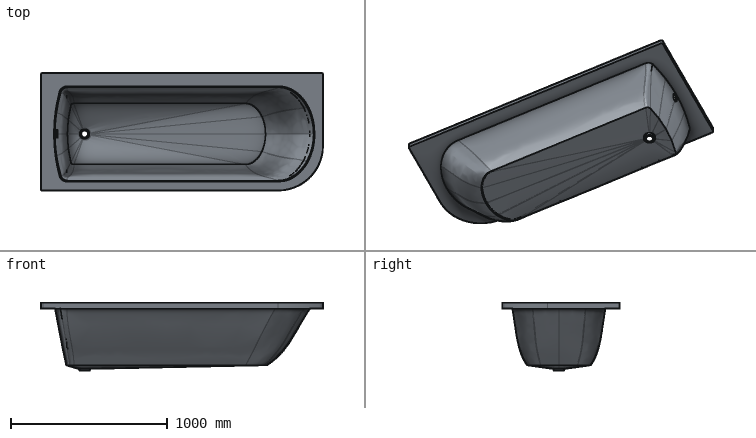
import cadquery as cq
import math


RIM_LENGTH = 1800.0
RIM_WIDTH = 750.0
RIM_THICKNESS = 38.0
ROUNDED_CORNER_RADIUS = 288.0
SMALL_CORNER_RADIUS = 10.0

CENTER_Y = 362.0
WALL = 7.0
END_SPLIT_ANGLE = 35.0

BASIN_LEVELS = [
    (0.0, 83.0, 119.0, 268.0, 170.0, 1514.0, 305.0, 1746.0),
    (180.0, 117.0, 148.0, 252.0, 178.0, 1415.0, 275.0, 1630.0),
    (335.0, 148.0, 173.0, 205.0, 205.0, 1337.0, 238.0, 1521.0),
    (400.0, 162.0, 184.0, 185.0, 209.0, 1303.0, 202.0, 1440.0),
]

DRAIN_X = 279.0
DRAIN_RADIUS = 38.0
DRAIN_DEPTH = 423.0
SPOUT_RADIUS = 30.0
SPOUT_DEPTH = 435.0
DRAIN_HOLE_RADIUS = 22.0

OVERFLOW_RADIUS = 25.0
OVERFLOW_DEPTH = 72.0


def basin_section(level, inset):
    """Closed outline at one level, moved inwards by the inset; also returns its corner points."""
    depth, left, corner_x, corner_half, side_start, side_end, half, right = level
    left += inset
    corner_x += inset
    corner_half -= inset
    half -= inset
    right -= inset

    def point(x, offset):
        return cq.Vector(x, CENTER_Y + offset, -depth)

    sagitta = corner_x - left
    arc_radius = (corner_half**2 + sagitta**2) / (2 * sagitta)
    arc_angle = math.asin(corner_half / arc_radius)

    def on_left(fraction):
        angle = fraction * arc_angle
        return point(left + arc_radius * (1 - math.cos(angle)), arc_radius * math.sin(angle))

    edges = []
    for start in (1.0, 0.5, 0.0, -0.5):
        edges.append(cq.Edge.makeThreePointArc(on_left(start), on_left(start - 0.25), on_left(start - 0.5)))

    near_start = point(side_start, -half)
    near_end = point(side_end, -half)
    far_start = point(side_start, half)
    far_end = point(side_end, half)
    along_x = cq.Vector(1, 0, 0)

    near_corner = cq.Edge.makeTangentArc(near_start, along_x * -1, point(corner_x, -corner_half))
    middle = near_corner.positionAt(0.5)
    edges.append(cq.Edge.makeThreePointArc(point(corner_x, -corner_half), middle, near_start))
    edges.append(cq.Edge.makeLine(near_start, near_end))

    def on_right(degrees):
        angle = math.radians(degrees)
        return point(side_end + (right - side_end) * math.cos(angle), half * math.sin(angle))

    def right_tangent(degrees):
        angle = math.radians(degrees)
        return cq.Vector(-(right - side_end) * math.sin(angle), half * math.cos(angle), 0)

    splits = [-90, -END_SPLIT_ANGLE, 0, END_SPLIT_ANGLE, 90]
    for start, end in zip(splits, splits[1:]):
        points = [on_right(start), on_right((start + end) / 2), on_right(end)]
        edges.append(cq.Edge.makeSpline(points, tangents=[right_tangent(start), right_tangent(end)]))

    edges.append(cq.Edge.makeLine(far_end, far_start))
    edges.append(cq.Edge.makeTangentArc(far_start, along_x * -1, point(corner_x, corner_half)))
    return cq.Wire.assembleEdges(edges), [edge.startPoint() for edge in edges]


def drain_circle(corners, depth):
    """Circle split in the directions of the floor's corner points, so each floor facet meets one arc."""
    angles = [math.atan2(corner.y - CENTER_Y, corner.x - DRAIN_X) for corner in corners]
    edges = []
    for start, end in zip(angles, angles[1:] + angles[:1]):
        sweep = (end - start) % (2 * math.pi)
        points = []
        for angle in (start, start + sweep / 2, start + sweep):
            x = DRAIN_X + DRAIN_RADIUS * math.cos(angle)
            y = CENTER_Y + DRAIN_RADIUS * math.sin(angle)
            points.append(cq.Vector(x, y, -depth))
        edges.append(cq.Edge.makeThreePointArc(*points))
    return cq.Wire.assembleEdges(edges)


def basin_solid(inset):
    """Filled basin: smooth walls, and a floor that falls towards the drain."""
    levels = list(BASIN_LEVELS)
    floor_depth, *floor_sizes = levels[-1]
    levels[-1] = (floor_depth - inset, *floor_sizes)
    sections = [basin_section(level, inset) for level in levels]
    walls = cq.Solid.makeLoft([wire for wire, _ in sections])
    floor_wire, floor_corners = sections[-1]
    floor = cq.Solid.makeLoft([floor_wire, drain_circle(floor_corners, DRAIN_DEPTH - inset)], True)
    return cq.Workplane(walls).union(cq.Workplane(floor))


def drain_cone(top_radius, top_depth, bottom_radius):
    height = SPOUT_DEPTH - top_depth
    place = cq.Vector(DRAIN_X, CENTER_Y, -SPOUT_DEPTH)
    return cq.Workplane(cq.Solid.makeCone(bottom_radius, top_radius, height, place))


def make_basin(outer):
    spout = drain_cone(DRAIN_RADIUS, DRAIN_DEPTH, SPOUT_RADIUS)
    funnel = drain_cone(DRAIN_RADIUS - WALL, DRAIN_DEPTH - WALL, DRAIN_HOLE_RADIUS)
    overflow_start = cq.Vector(0, CENTER_Y, -OVERFLOW_DEPTH)
    overflow = cq.Solid.makeCylinder(OVERFLOW_RADIUS, DRAIN_X, overflow_start, cq.Vector(1, 0, 0))
    return outer.union(spout).cut(basin_solid(WALL)).cut(funnel).cut(cq.Workplane(overflow))


def make_rim(opening):
    rim = cq.Workplane("XY").box(RIM_LENGTH, RIM_WIDTH, RIM_THICKNESS, centered=False)
    rim = rim.translate((0, 0, -RIM_THICKNESS))
    rim = rim.edges("|Z and >X and <Y").fillet(ROUNDED_CORNER_RADIUS)
    rim = rim.edges("|Z and (<X or >Y)").fillet(SMALL_CORNER_RADIUS)
    return rim.cut(opening)


basin_outer = basin_solid(0.0)
rim = make_rim(basin_outer)
basin = make_basin(basin_outer)

result = cq.Compound.makeCompound([rim.solids().val(), basin.solids().val()])